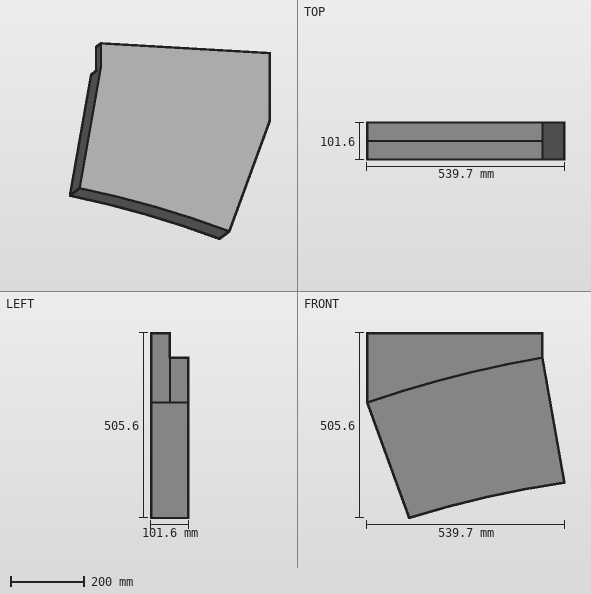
import cadquery as cq
import math

overall_width = 539.72
overall_height = 505.63
block_depth = 101.6
panel_depth = block_depth / 2

panel_width = 479.4
panel_left_height = 190.0
panel_right_height = 67.0

left_lean = 20.0
right_lean = 10.0
upper_radius = 3048.0
lower_radius = 2743.2

upper_left = (0, -panel_left_height)
upper_right = (panel_width, -panel_right_height)
left_drop = overall_height - panel_left_height
lower_left = (left_drop * math.tan(math.radians(left_lean)), -overall_height)
right_run = overall_width - panel_width
right_drop = right_run / math.tan(math.radians(right_lean))
lower_right = (overall_width, -panel_right_height - right_drop)


def arc_crown(start, end, radius):
    """Middle point of the upward-bulging arc between two points, start left of end."""
    run = end[0] - start[0]
    rise = end[1] - start[1]
    chord = math.hypot(run, rise)
    sagitta = radius - math.sqrt(radius**2 - (chord / 2) ** 2)
    crown_x = (start[0] + end[0]) / 2 - sagitta * rise / chord
    crown_z = (start[1] + end[1]) / 2 + sagitta * run / chord
    return (crown_x, crown_z)


def make_block():
    """Full-depth block between the two arcs, its back face on Y = 0."""
    return (
        cq.Workplane("XZ")
        .moveTo(*upper_left)
        .threePointArc(arc_crown(upper_left, upper_right, upper_radius), upper_right)
        .lineTo(*lower_right)
        .threePointArc(arc_crown(lower_left, lower_right, lower_radius), lower_left)
        .close()
        .extrude(block_depth)
    )


def make_panel():
    """Half-depth panel that rises from the block's upper arc to a level top edge."""
    return (
        cq.Workplane("XZ")
        .moveTo(*upper_left)
        .threePointArc(arc_crown(upper_left, upper_right, upper_radius), upper_right)
        .lineTo(panel_width, 0)
        .lineTo(0, 0)
        .close()
        .extrude(panel_depth)
    )


result = make_block().union(make_panel())